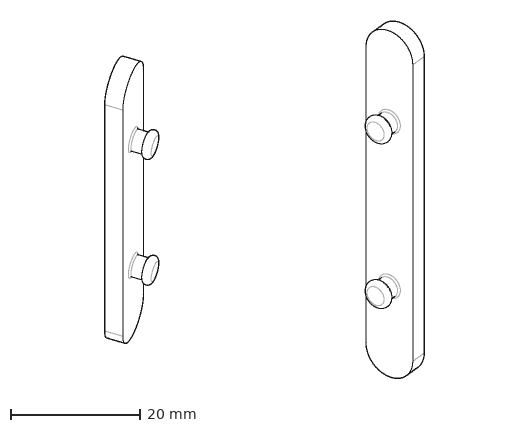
import cadquery as cq

length = 63.0
width = 9.0
plate_thickness = 3.0

total_depth = 6.6
peg_spacing = 30.0
shank_diameter = 3.6
root_fillet = 0.3
head_diameter = 4.8
head_thickness = 1.5


def make_plate():
    return cq.Workplane("YZ").slot2D(length, width, 90).extrude(plate_thickness)


def make_shank(z):
    """Straight pin along X, reaching from the plate to the middle of the head."""
    shank_length = total_depth - head_thickness / 2 - plate_thickness
    return (
        cq.Workplane("YZ", origin=(plate_thickness, 0, z))
        .circle(shank_diameter / 2)
        .extrude(shank_length)
    )


def make_head(z):
    """Disc around the X direction whose rim is a full half circle."""
    head_start = total_depth - head_thickness
    rim_radius = head_thickness / 2
    flat_radius = head_diameter / 2 - rim_radius
    return (
        cq.Workplane("XY", origin=(head_start, 0, z))
        .lineTo(0, flat_radius)
        .threePointArc((rim_radius, head_diameter / 2), (head_thickness, flat_radius))
        .lineTo(head_thickness, 0)
        .close()
        .revolve(360, (0, 0, 0), (1, 0, 0))
    )


peg_heights = [side * peg_spacing / 2 for side in (-1, 1)]

result = make_plate()
for height in peg_heights:
    result = result.union(make_shank(height))

plate_face = result.faces(cq.selectors.NearestToPointSelector((plate_thickness, 0, 0)))
result = plate_face.edges(cq.selectors.RadiusNthSelector(0)).fillet(root_fillet)

for height in peg_heights:
    result = result.union(make_head(height))